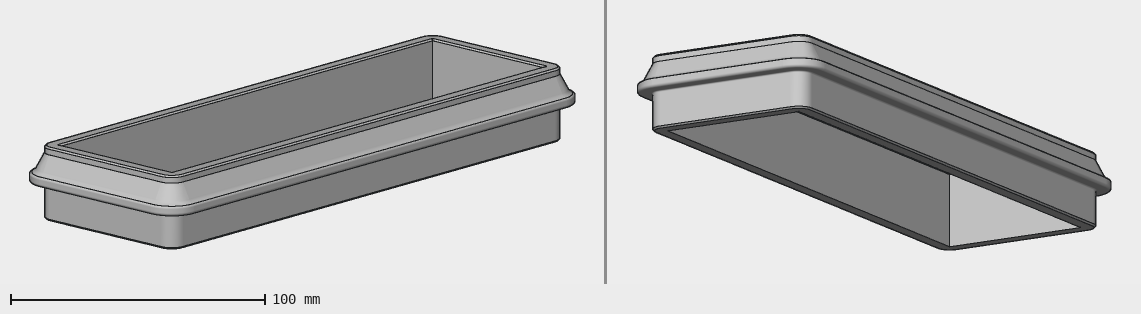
import cadquery as cq

opening_x = 60.0
opening_y = 216.0
height = 30.0

wall = 6.0
lip_reach = 12.0

lip_bottom = 15.0
lip_top = 19.0
flare_bottom = 20.6
flare_top = 27.0

flare_reach = 9.4
crest_reach = 11.0
cove_sag = 0.17
crest_round = lip_reach - crest_reach
lip_round = 1.2

edge_chamfer = 0.7
root_fillet = 0.6


def outer_section():
    """Closed section from the opening face to the outer moulding."""
    cove_middle = (
        (flare_reach + crest_reach) / 2 - cove_sag,
        (flare_bottom + lip_top) / 2 - cove_sag,
    )
    return (
        cq.Workplane("XZ")
        .lineTo(wall - edge_chamfer, 0)
        .lineTo(wall, edge_chamfer)
        .lineTo(wall, lip_bottom - root_fillet)
        .radiusArc((wall + root_fillet, lip_bottom), root_fillet)
        .lineTo(lip_reach - lip_round, lip_bottom)
        .radiusArc((lip_reach, lip_bottom + lip_round), -lip_round)
        .lineTo(lip_reach, lip_top - crest_round)
        .radiusArc((crest_reach, lip_top), -crest_round)
        .threePointArc(cove_middle, (flare_reach, flare_bottom))
        .lineTo(wall, flare_top)
        .lineTo(wall, height - edge_chamfer)
        .lineTo(wall - edge_chamfer, height)
        .lineTo(edge_chamfer, height)
        .lineTo(0, height - edge_chamfer)
        .close()
    )


def straight_side(length, distance, angle):
    """Moulding along one edge of the opening, turned into place about Z."""
    return (
        outer_section()
        .extrude(length / 2, both=True)
        .translate((distance, 0, 0))
        .rotate((0, 0, 0), (0, 0, 1), angle)
    )


def corner(x, y, angle):
    """Quarter turn of the moulding about a corner of the opening."""
    return (
        outer_section()
        .revolve(90, (0, 0, 0), (0, -1, 0))
        .rotate((0, 0, 0), (0, 0, 1), angle)
        .translate((x, y, 0))
    )


half_x = opening_x / 2
half_y = opening_y / 2

pieces = [
    straight_side(opening_y, half_x, 0),
    corner(half_x, half_y, 90),
    straight_side(opening_x, half_y, 90),
    corner(-half_x, half_y, 180),
    straight_side(opening_y, half_x, 180),
    corner(-half_x, -half_y, 270),
    straight_side(opening_x, half_y, 270),
    corner(half_x, -half_y, 0),
]

result = pieces[0]
for piece in pieces[1:]:
    result = result.union(piece)